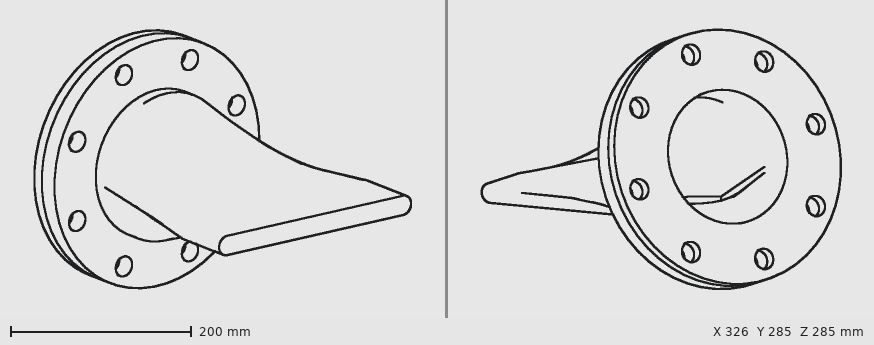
import cadquery as cq
import math

total_length = 326.0
flange_end = 14.0
ring_end = 37.2
collar_end = 53.8
lip_start = 253.0
slit_tip = (lip_start + total_length) / 2

flange_radius = 142.5
bolt_circle_radius = 120.0
bolt_hole_radius = 11.5
bolt_count = 8

collar_radius = 85.0
bore_radius = 75.0

lip_width = 267.0
lip_thickness = 22.5
lip_wall = 5.5
lip_edge_radius = lip_thickness / 2
lip_flat_half_width = lip_width / 2 - lip_edge_radius
slit_half_width = lip_width / 2 - lip_wall
slit_half_height = lip_thickness / 2 - lip_wall


def disc(x_start, x_end, radius):
    """Solid round disc on the X axis between two X positions."""
    return cq.Workplane("YZ", origin=(x_start, 0, 0)).circle(radius).extrude(x_end - x_start)


def bolt_holes(x_start, x_end):
    """Cutters for the bolt circle, straddling the Y and Z axes."""
    half_pitch = 360 / bolt_count / 2
    return (
        cq.Workplane("YZ", origin=(x_start, 0, 0))
        .polarArray(bolt_circle_radius, half_pitch, 360, bolt_count)
        .circle(bolt_hole_radius)
        .extrude(x_end - x_start)
    )


def circle_outline(x, radius, corner_angle):
    """Circle of four arcs, split at the angles +/-corner_angle from the Y axis."""
    side_y = radius * math.cos(corner_angle)
    side_z = radius * math.sin(corner_angle)
    return (
        cq.Workplane("YZ", origin=(x, 0, 0))
        .moveTo(side_y, -side_z)
        .threePointArc((radius, 0), (side_y, side_z))
        .threePointArc((0, radius), (-side_y, side_z))
        .threePointArc((-radius, 0), (-side_y, -side_z))
        .threePointArc((0, -radius), (side_y, -side_z))
        .close()
        .val()
    )


def lip_outline(x):
    """Flat outline with half-round ends, starting at the same corner as the circle."""
    return (
        cq.Workplane("YZ", origin=(x, 0, 0))
        .moveTo(lip_flat_half_width, -lip_edge_radius)
        .threePointArc((lip_width / 2, 0), (lip_flat_half_width, lip_edge_radius))
        .lineTo(-lip_flat_half_width, lip_edge_radius)
        .threePointArc((-lip_width / 2, 0), (-lip_flat_half_width, -lip_edge_radius))
        .close()
        .val()
    )


def slit_outline(x):
    """Rectangular outline of the passage where it enters the lip."""
    return (
        cq.Workplane("YZ", origin=(x, 0, 0))
        .moveTo(slit_half_width, -slit_half_height)
        .lineTo(slit_half_width, slit_half_height)
        .lineTo(-slit_half_width, slit_half_height)
        .lineTo(-slit_half_width, -slit_half_height)
        .close()
        .val()
    )


def transition(round_radius, flat_outline, corner_y, corner_z):
    """Straight-line blend from a circle at the collar to a flat outline at the lip."""
    corner_angle = math.atan2(corner_z, corner_y)
    inlet = circle_outline(collar_end, round_radius, corner_angle)
    return cq.Workplane(cq.Solid.makeLoft([inlet, flat_outline], True))


def closing_wedge(plane, base_half, width_across):
    """Wedge that narrows from the lip start to the slit tip, centred across its plane."""
    return (
        cq.Workplane(plane)
        .polyline([(lip_start, -base_half), (slit_tip, 0), (lip_start, base_half)])
        .close()
        .extrude(width_across / 2, both=True)
    )


def valve_outside():
    """Flange, collar, transition and lip as one solid shape."""
    lip_length = total_length - lip_start
    lip_direction = cq.Vector(lip_length, 0, 0)
    lip = cq.Workplane(cq.Solid.extrudeLinear(lip_outline(lip_start), [], lip_direction))
    body = disc(0, flange_end, flange_radius)
    body = body.union(disc(flange_end, collar_end, collar_radius))
    body = body.union(
        transition(collar_radius, lip_outline(lip_start), lip_flat_half_width, lip_edge_radius)
    )
    return body.union(lip)


def flow_passage():
    """Round bore, flattening passage and its four-sided closure inside the lip."""
    bore = disc(0, collar_end, bore_radius)
    flattening = transition(bore_radius, slit_outline(lip_start), slit_half_width, slit_half_height)
    closure = closing_wedge("XZ", slit_half_height, lip_width).intersect(
        closing_wedge("XY", slit_half_width, lip_thickness)
    )
    return bore.union(flattening).union(closure)


def make_valve():
    return valve_outside().cut(flow_passage()).cut(bolt_holes(0, flange_end))


def make_clamp_ring():
    """Ring behind the flange that fits around the collar."""
    ring = disc(flange_end, ring_end, flange_radius)
    ring = ring.cut(disc(flange_end, ring_end, collar_radius))
    return ring.cut(bolt_holes(flange_end, ring_end))


valve = make_valve()
clamp_ring = make_clamp_ring()
result = cq.Compound.makeCompound([valve.val(), clamp_ring.val()])